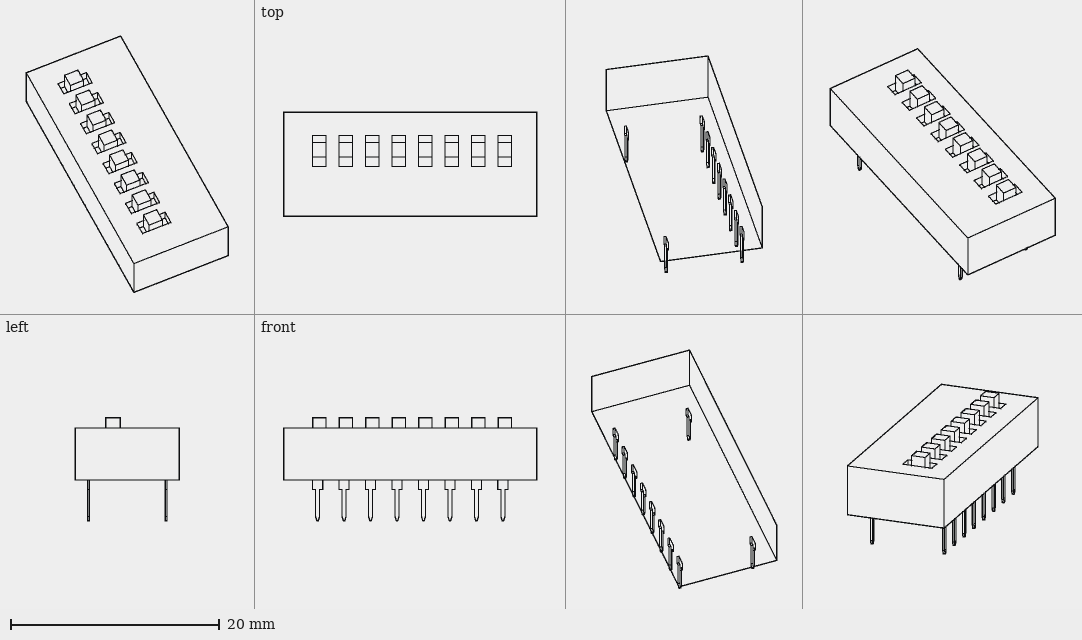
import cadquery as cq

BODY_LENGTH = 24.3
BODY_WIDTH = 10.0
BODY_HEIGHT = 5.0

SWITCH_COUNT = 8
PITCH = 2.54
ROW_SPACING = 7.46

SWITCH_ROW_OFFSET_X = 0.18
SLOT_WIDTH = 1.3
SLOT_LENGTH = 3.0
SLOT_CENTER_Y = 1.27
SLOT_DEPTH = 1.0
SLIDER_LENGTH = 1.4
SLIDER_CENTER_Y = 1.37
SLIDER_PROJECTION = 1.0

PIN_LENGTH = 3.91
PIN_WIDTH = 0.4
PIN_THICKNESS = 0.2
SHOULDER_WIDTH = 1.0
SHOULDER_HEIGHT = 0.91
TIP_WIDTH = 0.14
TIP_HEIGHT = 0.4


def row_positions(center_x):
    """X positions of one row of evenly spaced features."""
    first_x = center_x - (SWITCH_COUNT - 1) * PITCH / 2
    return [first_x + index * PITCH for index in range(SWITCH_COUNT)]


def make_body():
    return cq.Workplane("XY").box(BODY_LENGTH, BODY_WIDTH, BODY_HEIGHT, centered=(True, True, False))


def make_slot(x):
    """Cutter for one slot, sunk from the top of the housing."""
    return (
        cq.Workplane("XY", origin=(x, SLOT_CENTER_Y, BODY_HEIGHT))
        .rect(SLOT_WIDTH, SLOT_LENGTH)
        .extrude(-SLOT_DEPTH)
    )


def make_slider(x):
    """Slider that fills the slot width and rises from the slot floor."""
    return (
        cq.Workplane("XY", origin=(x, SLIDER_CENTER_Y, BODY_HEIGHT - SLOT_DEPTH))
        .rect(SLOT_WIDTH, SLIDER_LENGTH)
        .extrude(SLOT_DEPTH + SLIDER_PROJECTION)
    )


def make_pin(x, y):
    """Flat pin hanging from the underside of the housing."""
    half_profile = [
        (SHOULDER_WIDTH / 2, 0),
        (SHOULDER_WIDTH / 2, -SHOULDER_HEIGHT),
        (PIN_WIDTH / 2, -SHOULDER_HEIGHT),
        (PIN_WIDTH / 2, TIP_HEIGHT - PIN_LENGTH),
        (TIP_WIDTH / 2, -PIN_LENGTH),
    ]
    mirrored_profile = [(-px, pz) for px, pz in reversed(half_profile)]
    return (
        cq.Workplane("XZ", origin=(x, y, 0))
        .polyline(half_profile + mirrored_profile)
        .close()
        .extrude(PIN_THICKNESS / 2, both=True)
    )


result = make_body()

for switch_x in row_positions(SWITCH_ROW_OFFSET_X):
    result = result.cut(make_slot(switch_x)).union(make_slider(switch_x))

pin_positions = row_positions(0)
for pin_x in pin_positions:
    result = result.union(make_pin(pin_x, ROW_SPACING / 2))
for pin_x in (pin_positions[0], pin_positions[-1]):
    result = result.union(make_pin(pin_x, -ROW_SPACING / 2))